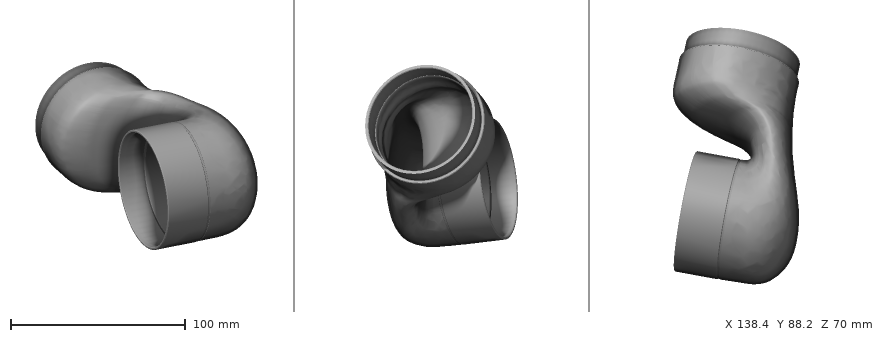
import cadquery as cq
import math

spigot_radius = 33.2
spigot_length = 11.2
collar_width = 0.8
inlet_straight = 4.2

outlet_x = 103.4
outlet_end_y = -12.7
socket_length = 25.5
socket_depth = 15.5
socket_clearance = 0.1
groove_width = 1.1
groove_depth = 0.4

rim_radius = 35.0
pipe_radius = 34.9
bore_radius = 31.3
edge_chamfer = 0.4

end_wall = 3.7
bend_wall = 2.2

socket_radius = spigot_radius + socket_clearance
socket_top_y = outlet_end_y + socket_length
ledge_y = outlet_end_y + socket_depth
body_start_x = spigot_length + collar_width
body_end_y = socket_top_y + groove_width

bend_sections = [
    ((20.8, 35.0), (23.5, -35.0), 34.6, end_wall),
    ((24.9, 35.3), (30.5, -34.7), 34.2, end_wall),
    ((29.1, 35.6), (36.0, -32.7), 33.8, bend_wall),
    ((33.2, 36.0), (42.6, -22.1), 33.0, bend_wall),
    ((40.1, 37.0), (44.6, -13.2), 32.3, bend_wall),
    ((45.7, 37.9), (47.5, 1.4), 32.1, bend_wall),
    ((56.8, 40.4), (55.5, 14.1), 32.5, bend_wall),
    ((67.8, 43.6), (59.5, 16.2), 33.0, bend_wall),
    ((78.9, 47.2), (63.7, 17.3), 33.5, bend_wall),
    ((92.7, 51.4), (66.7, 17.6), 34.2, bend_wall),
    ((108.0, 53.2), (68.0, 17.2), 34.7, bend_wall),
    ((119.0, 51.9), (68.2, 16.6), pipe_radius, bend_wall),
    ((128.0, 47.8), (68.4, 15.9), pipe_radius, bend_wall),
    ((135.0, 40.8), (68.5, 15.2), pipe_radius, bend_wall),
    ((137.9, 30.2), (68.5, 14.7), pipe_radius, end_wall),
    ((138.0, 21.5), (68.5, 14.3), pipe_radius, end_wall),
]
points_per_section = 16


def round_section(center, direction):
    """Circular pipe section from its centre and the XY direction of its diameter."""
    cx, cy = center
    dx, dy = direction
    outer_point = (cx + pipe_radius * dx, cy + pipe_radius * dy)
    inner_point = (cx - pipe_radius * dx, cy - pipe_radius * dy)
    return outer_point, inner_point, pipe_radius, end_wall


def section_wire(section, hollow):
    """Ellipse standing upright on the line between the two wall points of a section."""
    (ox, oy), (ix, iy), half_height, wall = section
    inset = wall if hollow else 0
    half_width = math.hypot(ox - ix, oy - iy) / 2
    dx = (ox - ix) / (2 * half_width)
    dy = (oy - iy) / (2 * half_width)
    points = []
    for step in range(points_per_section):
        angle = 2 * math.pi * step / points_per_section
        along = (half_width - inset) * math.cos(angle)
        z = (half_height - inset) * math.sin(angle)
        points.append(cq.Vector((ox + ix) / 2 + along * dx, (oy + iy) / 2 + along * dy, z))
    return cq.Wire.assembleEdges([cq.Edge.makeSpline(points, periodic=True)])


def bent_body(hollow):
    """Smooth loft from the inlet collar to the outlet socket: outside, or the hollow within."""
    sections = [round_section((body_start_x, 0), (0, 1))]
    sections += [round_section((body_start_x + inlet_straight, 0), (0, 1))]
    sections += bend_sections
    sections += [round_section((outlet_x, body_end_y), (1, 0))]
    wires = [section_wire(section, hollow) for section in sections]
    return cq.Workplane(cq.Solid.makeLoft(wires))


def inlet_cylinder(x, radius, length):
    """Cylinder on the inlet axis, running towards +X."""
    return cq.Workplane("YZ", origin=(x, 0, 0)).circle(radius).extrude(length)


def outlet_cylinder(y, radius, length):
    """Cylinder on the outlet axis, running towards +Y."""
    return cq.Workplane("XZ", origin=(outlet_x, y, 0)).circle(radius).extrude(-length)


def outer_shape():
    spigot = inlet_cylinder(0, spigot_radius, spigot_length)
    collar = inlet_cylinder(spigot_length, rim_radius, collar_width)
    collar = collar.faces("<X").chamfer(edge_chamfer)
    socket = outlet_cylinder(outlet_end_y, rim_radius, socket_length)
    socket = socket.faces("<Y or >Y").chamfer(edge_chamfer)
    groove_floor = outlet_cylinder(socket_top_y, rim_radius - groove_depth, groove_width)
    return collar.union(spigot).union(bent_body(hollow=False)).union(groove_floor).union(socket)


def entry_cone(plane, origin, radius, direction):
    """Cone that breaks the entry edge of a bore, narrowing along the plane normal times direction."""
    mouth = cq.Workplane(plane, origin=origin).circle(radius + edge_chamfer)
    return mouth.workplane(offset=direction * edge_chamfer).circle(radius).loft()


def passage_parts():
    """Bodies to remove, one after another, to open the pipe from end to end."""
    return [
        bent_body(hollow=True),
        inlet_cylinder(0, bore_radius, body_start_x),
        outlet_cylinder(ledge_y, bore_radius, body_end_y - ledge_y),
        outlet_cylinder(outlet_end_y, socket_radius, socket_depth),
        entry_cone("YZ", (0, 0, 0), bore_radius, 1),
        entry_cone("XZ", (outlet_x, ledge_y, 0), bore_radius, -1),
        entry_cone("XZ", (outlet_x, outlet_end_y, 0), socket_radius, -1),
    ]


result = outer_shape()
for passage_part in passage_parts():
    result = result.cut(passage_part)